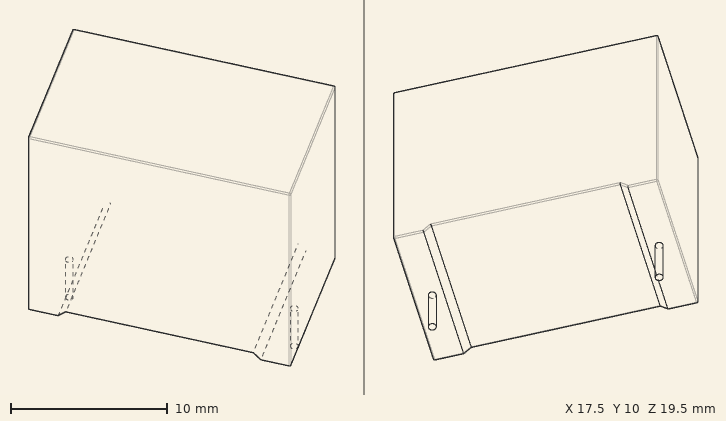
import cadquery as cq

total_height = 19.5
body_length = 17.5
body_width = 10.0
lead_length = 3.5
body_height = total_height - lead_length
edge_radius = 0.1

recess_depth = 0.5
recess_mouth_length = 13.5
recess_roof_length = recess_mouth_length - 2 * recess_depth

lead_diameter = 0.5
lead_pitch = 15.0
lead_embed = 0.98


def make_body():
    """Box standing on Z = 0, recessed underneath, with the edges of its four upright sides rounded."""
    half_length = body_length / 2
    half_mouth = recess_mouth_length / 2
    half_roof = recess_roof_length / 2
    outline = [
        (-half_length, 0),
        (-half_mouth, 0),
        (-half_roof, recess_depth),
        (half_roof, recess_depth),
        (half_mouth, 0),
        (half_length, 0),
        (half_length, body_height),
        (-half_length, body_height),
    ]
    body = cq.Workplane("XZ").polyline(outline).close().extrude(body_width / 2, both=True)
    return body.faces("<X or >X or <Y or >Y").edges().fillet(edge_radius)


def make_lead(x):
    """Round wire running from inside the body down to the lead tip."""
    return (
        cq.Workplane("XY", origin=(x, 0, -lead_length))
        .circle(lead_diameter / 2)
        .extrude(lead_length + lead_embed)
    )


result = make_body()
for side in (-1, 1):
    result = result.union(make_lead(side * lead_pitch / 2))